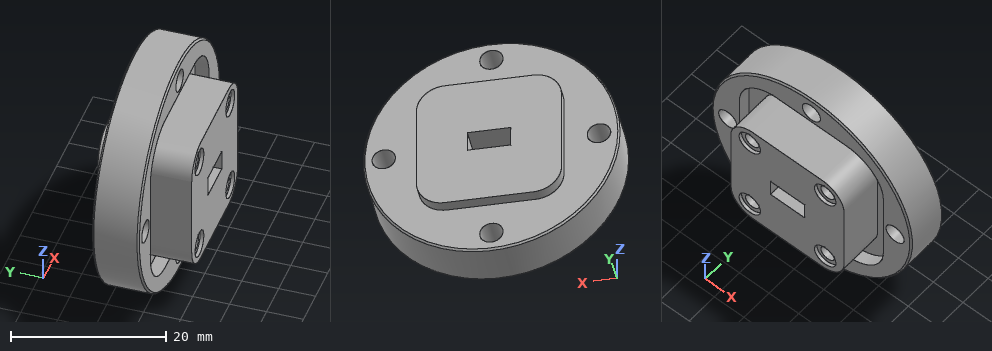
import cadquery as cq

flange_diameter = 33.655
flange_thickness = 6.35
flange_chamfer = 0.25

boss_width = 19.05
boss_corner_radius = 3.7
boss_front_height = 4.7625
boss_back_height = 1.5875
total_depth = boss_front_height + flange_thickness + boss_back_height

moat_width = 2.6
moat_depth = 1.905

window_width = 5.69
window_height = 2.845

rim_hole_diameter = 3.05
rim_hole_circle_diameter = 28.2
rim_hole_count = 4

screw_spacing_x = 12.7
screw_spacing_z = 13.46
screw_diameter = 2.3
screw_depth = 6.0
counterbore_diameter = 3.6
counterbore_depth = 0.508


def front_plane(y):
    """Sketch plane at depth y whose normal points toward +Y and whose y axis is +Z."""
    return cq.Workplane(cq.Plane(origin=(0, y, 0), xDir=(-1, 0, 0), normal=(0, 1, 0)))


def rounded_square(y, width, corner_radius, depth):
    """Square prism with rounded corners, extending from y toward +Y."""
    return front_plane(y).rect(width, width).extrude(depth).edges("|Y").fillet(corner_radius)


def make_flange():
    disc = front_plane(boss_front_height).circle(flange_diameter / 2).extrude(flange_thickness)
    return disc.faces("<Y or >Y").edges().chamfer(flange_chamfer)


def make_moat():
    """Pocket whose corners are concentric with the boss corners."""
    width = boss_width + 2 * moat_width
    corner_radius = boss_corner_radius + moat_width
    return rounded_square(boss_front_height, width, corner_radius, moat_depth)


def make_window():
    return front_plane(0).rect(window_width, window_height).extrude(total_depth)


def make_rim_holes():
    holes = front_plane(boss_front_height).polarArray(
        rim_hole_circle_diameter / 2, 0, 360, rim_hole_count
    )
    return holes.circle(rim_hole_diameter / 2).extrude(flange_thickness)


def make_screw_holes(diameter, depth):
    centers = front_plane(0).rarray(screw_spacing_x, screw_spacing_z, 2, 2)
    return centers.circle(diameter / 2).extrude(depth)


boss = rounded_square(0, boss_width, boss_corner_radius, total_depth)

result = (
    make_flange()
    .cut(make_moat())
    .union(boss)
    .cut(make_window())
    .cut(make_rim_holes())
    .cut(make_screw_holes(screw_diameter, screw_depth))
    .cut(make_screw_holes(counterbore_diameter, counterbore_depth))
)